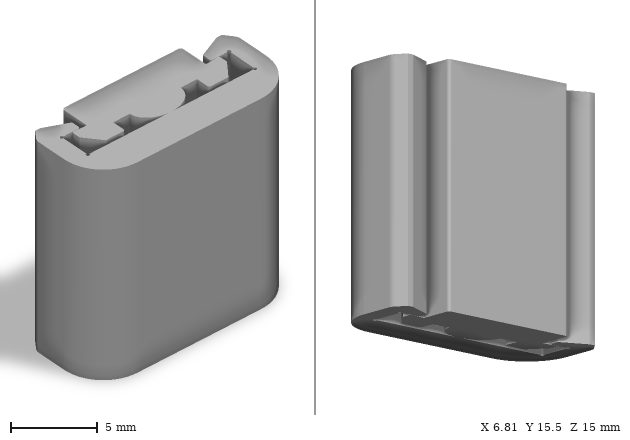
import cadquery as cq
import math

length = 15.0
overall_depth = 6.81
half_width = 15.46 / 2

back_wall = 2.45
side_wall = 1.33
back_corner_radius = 3.0
lip_front_x = 0.61
lip_inner_x = 2.10
lip_end_y = 5.0
lip_tip_x = 1.39
lip_slope_start_y = 6.75
chamfer_start_y = 7.15
chamfer_end_x = 1.39
chamfer_blend_radius = 0.6
lip_front_radius = 0.2
lip_tip_radius = 0.15
relief_radius = 0.125

cavity_back_x = overall_depth - back_wall
cavity_half_width = half_width - side_wall

body_half_width = 4.56
body_corner_radius = 0.2
wing_tip_y = 5.65
wing_face_tilt = 4.0
wing_back_x = 3.99
wing_slope_start_x = 2.77
wing_slope_end_y = 4.70
wing_inner_y = 3.21
wing_edge_radius = 0.15
groove_floor_x = 2.95
bulge_half_width = 1.95

wing_root_x = lip_inner_x + (wing_tip_y - body_half_width) * math.tan(math.radians(wing_face_tilt))
bulge_height = cavity_back_x - groove_floor_x


def mirrored_outline(half):
    """Close a +Y half outline with its mirror image across Y = 0."""
    return half + [(x, -y) for x, y in reversed(half)]


def fillet_edges_at(body, points, radius):
    """Round the Z edges that pass through the given +Y points and their mirror images."""
    for x, y in points:
        for side in (1, -1):
            edge = cq.selectors.NearestToPointSelector((x, side * y, length / 2))
            body = body.edges("|Z").edges(edge).fillet(radius)
    return body


def make_channel():
    back_corner = (overall_depth, half_width)
    chamfer_end = (chamfer_end_x, half_width)
    lip_front_corner = (lip_front_x, lip_slope_start_y)
    lip_tip = (lip_tip_x, lip_end_y)
    lip_inner_corner = (lip_inner_x, lip_end_y)
    half = [
        back_corner,
        chamfer_end,
        (lip_front_x, chamfer_start_y),
        lip_front_corner,
        lip_tip,
        lip_inner_corner,
        (lip_inner_x, cavity_half_width),
        (cavity_back_x, cavity_half_width),
    ]
    channel = cq.Workplane("XY").polyline(mirrored_outline(half)).close().extrude(length)
    channel = fillet_edges_at(channel, [back_corner], back_corner_radius)
    channel = fillet_edges_at(channel, [chamfer_end], chamfer_blend_radius)
    channel = fillet_edges_at(channel, [lip_front_corner], lip_front_radius)
    channel = fillet_edges_at(channel, [lip_tip, lip_inner_corner], lip_tip_radius)

    cavity_corners = [
        (x, y)
        for x in (lip_inner_x, cavity_back_x)
        for y in (cavity_half_width, -cavity_half_width)
    ]
    reliefs = cq.Workplane("XY").pushPoints(cavity_corners).circle(relief_radius).extrude(length)
    return channel.cut(reliefs)


def make_slider():
    body_corner = (0, body_half_width)
    wing_tip = (lip_inner_x, wing_tip_y)
    wing_hook = (wing_back_x, wing_inner_y)
    half = [
        body_corner,
        (wing_root_x, body_half_width),
        wing_tip,
        (wing_slope_start_x, wing_tip_y),
        (wing_back_x, wing_slope_end_y),
        wing_hook,
        (groove_floor_x, wing_inner_y),
    ]
    slider = cq.Workplane("XY").polyline(mirrored_outline(half)).close().extrude(length)
    slider = fillet_edges_at(slider, [body_corner], body_corner_radius)
    slider = fillet_edges_at(slider, [wing_tip, wing_hook], wing_edge_radius)

    bulge = (
        cq.Workplane("XY")
        .center(groove_floor_x, 0)
        .ellipse(bulge_height, bulge_half_width)
        .extrude(length)
    )
    return slider.union(bulge)


channel = make_channel()
slider = make_slider()

result = cq.Compound.makeCompound([channel.solids().val(), slider.solids().val()])